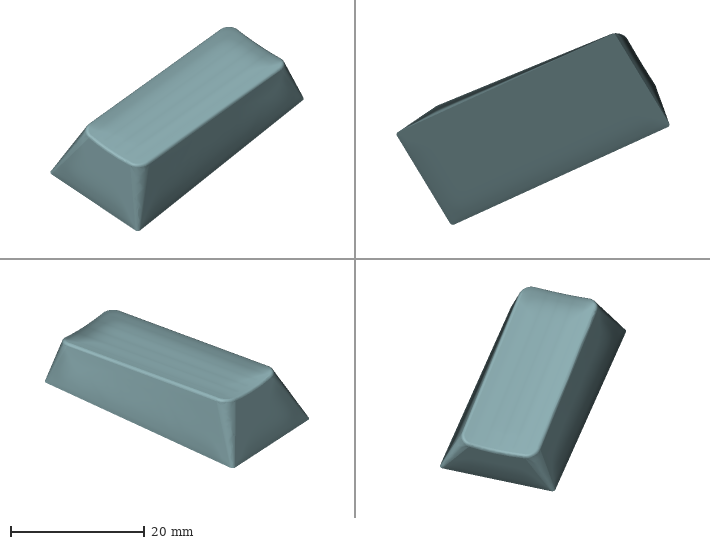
import cadquery as cq
import math

base_width = 18.1
base_length = 37.15
base_corner_radius = 0.5

top_width = 12.0
top_length = 33.2
top_corner_radius = 2.1
top_centre_y = 1.8
top_centre_z = 7.465
tilt_angle = 4.8

dish_depth = 0.5
dish_chord = top_width
dish_length = base_length

rim_fillet_radius = 0.5


def rounded_rectangle(width, length, corner_radius):
    return cq.Sketch().rect(width, length).vertices().fillet(corner_radius)


def tapered_body():
    """Straight-sided loft from the level base to the smaller, tilted top."""
    base = rounded_rectangle(base_width, base_length, base_corner_radius)
    top = rounded_rectangle(top_width, top_length, top_corner_radius)
    top_place = cq.Location(
        cq.Vector(0, top_centre_y, top_centre_z), cq.Vector(1, 0, 0), -tilt_angle
    )
    return cq.Workplane("XY").placeSketch(base, top.moved(top_place)).loft(ruled=True)


def dish_cutter():
    """Cylinder lying along the tilted top, sunk below it by the dish depth."""
    radius = (dish_chord**2 / 4 + dish_depth**2) / (2 * dish_depth)
    tilt = math.radians(tilt_angle)
    along = cq.Vector(0, math.cos(tilt), -math.sin(tilt))
    upward = cq.Vector(0, math.sin(tilt), math.cos(tilt))
    top_centre = cq.Vector(0, top_centre_y, top_centre_z)
    start = top_centre + upward * (radius - dish_depth) - along * (dish_length / 2)
    return cq.Solid.makeCylinder(radius, dish_length, start, along)


def round_rim(body):
    """Fillet every edge around the dished face."""
    return body.faces("%CYLINDER").edges().fillet(rim_fillet_radius)


dished_body = tapered_body().cut(cq.Workplane(dish_cutter()))
result = round_rim(dished_body)